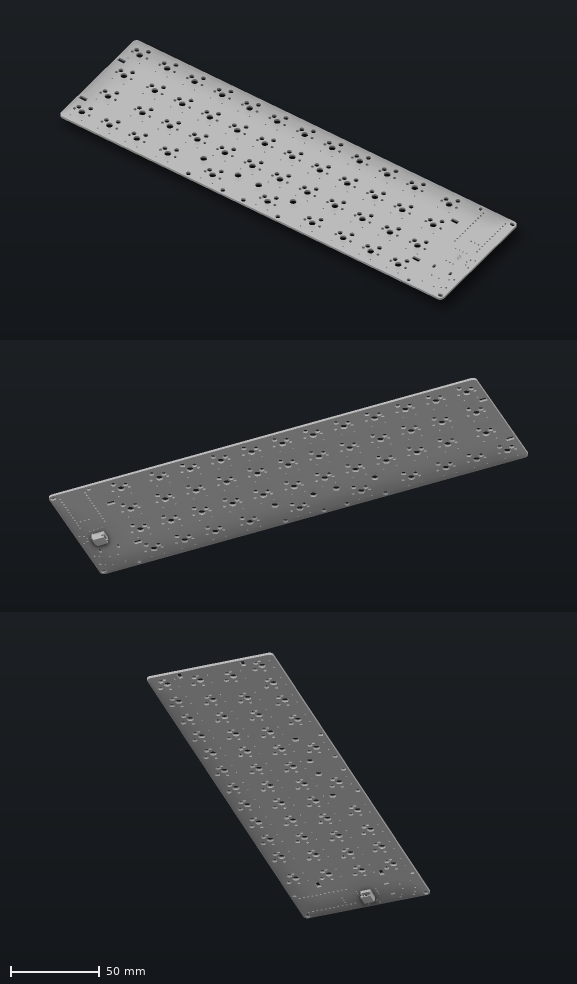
import cadquery as cq
import math

board_width = 265.0
board_thickness = 1.5
corner_radius = 2.5

key_units_wide = 12.5
key_units_deep = 4
key_field_width = 238.0
key_pitch = key_field_width / key_units_wide
board_depth = key_units_deep * key_pitch

key_rows = [
    [0.5 + i for i in range(11)] + [11.75],
    [0.625] + [1.75 + i for i in range(10)] + [11.875],
    [0.75] + [2.0 + i for i in range(11)],
    [0.5, 1.5, 2.5, 3.625, 5.25, 7.25, 8.875, 10.0, 11.0, 12.0],
]
double_width_keys = [5.25, 7.25]
front_row = len(key_rows) - 1


def row_y(row):
    """Y of the key centers in a row, counted from the back."""
    return board_depth - (row + 0.5) * key_pitch


key_centers = [
    (units * key_pitch, row_y(row)) for row, columns in enumerate(key_rows) for units in columns
]
stabilizer_centers = [(units * key_pitch, row_y(front_row)) for units in double_width_keys]

switch_grid = 1.27
switch_stem_diameter = 4.0
switch_peg_diameter = 1.75
switch_peg_offsets = [(-4 * switch_grid, 0), (4 * switch_grid, 0)]
socket_diameter = 3.0
socket_offsets = [(2 * switch_grid, 4 * switch_grid), (-3 * switch_grid, 2 * switch_grid)]
diode_lead_diameter = 0.82
diode_half_span = 4.0
diode_drop = 5.8
diode_offsets = [(-diode_half_span, 0), (diode_half_span, 0)]
key_diode_offsets = [(x, -diode_drop) for x, _ in diode_offsets]

stabilizer_half_span = 12.0
stabilizer_back_diameter = 4.0
stabilizer_back_offset = 8.2
stabilizer_front_diameter = 3.0
stabilizer_front_offset = 7.0
stabilizer_sides = (-stabilizer_half_span, stabilizer_half_span)

case_slot_length = 4.8
case_slot_width = 2.5
case_slot_inset = 3.7
case_slot_centers = [
    (x, board_depth - rows * key_pitch)
    for x in (case_slot_inset, key_field_width - case_slot_inset)
    for rows in (1, 3)
]

header_pitch = 2.55
electronics_x = 251.5
controller_pins = 12
controller_half_span = 3 * header_pitch
controller_first_pin_y = board_depth - 4.5
controller_pin_diameter = 1.1
controller_centers = [
    (electronics_x + side * controller_half_span, controller_first_pin_y - i * header_pitch)
    for side in (-1, 1)
    for i in range(controller_pins)
]

power_header_pins = 3
power_header_y = 48.8
power_header_diameter = 1.0
power_header_centers = [
    (electronics_x + i * header_pitch, power_header_y) for i in range(power_header_pins)
]

display_pins = 4
display_y = 39.0
display_pin_diameter = 0.82
display_centers = [
    (electronics_x + (i - (display_pins - 1) / 2) * header_pitch, display_y)
    for i in range(display_pins)
]

encoder_y = 20.1
encoder_pin_diameter = 1.0
encoder_pin_pitch = 2.5
encoder_signal_offset = 7.5
encoder_switch_offset = 7.0
encoder_tab_half_span = 5.5
encoder_tab_length = 3.0
encoder_tab_width = 1.5
encoder_signal_offsets = [(i * encoder_pin_pitch, encoder_signal_offset) for i in (-1, 0, 1)]
encoder_switch_offsets = [(i * encoder_pin_pitch, -encoder_switch_offset) for i in (-1, 1)]
encoder_pin_offsets = encoder_signal_offsets + encoder_switch_offsets
encoder_tab_centers = [(electronics_x + s * encoder_tab_half_span, encoder_y) for s in (-1, 1)]
encoder_diode_y = 6.0

ring_center = (262.7, 33.5)
ring_radius = 3.5
ring_hole_diameter = 1.1
ring_offsets = [
    (ring_radius * math.cos(math.radians(a)), ring_radius * math.sin(math.radians(a)))
    for a in range(90, 271, 45)
]

reset_x = 259.5
reset_y = 11.7
reset_half_span = 4.0
reset_lead_diameter = 0.98
reset_tab_shift_x = 2.5
reset_tab_shift_y = 1.5
reset_tab_diameter = 1.3
reset_lead_offsets = [(0, s * reset_half_span) for s in (-1, 1)]
reset_tab_offsets = [(reset_tab_shift_x, reset_tab_shift_y + s * reset_half_span) for s in (-1, 1)]

mount_diameter = 2.2
mount_edge_inset = 2.52
mount_hole_x = 240.7
mount_slot_x = 262.7
mount_slot_length = 3.2
mount_rows = (mount_edge_inset, board_depth - mount_edge_inset)

housing_clearance = 0.4
connector_height = 4.95
connector_width = 5.8
connector_pin_x = 254.0
connector_y = 33.5
connector_front_x = connector_pin_x - 6.0
connector_wall = 0.5
housing_length = 6.5
foot_length = 1.0
foot_height = 3.7
cavity_depth = 4.5
cavity_height = 2.5
side_slot_length = 1.5
side_slot_height = 0.93
side_slot_drop = 3.2
lead_pitch = 2.0
lead_size = 0.5
lead_hole_diameter = 0.75
lead_rise = 1.75
contact_drop = 3.2
contact_recess = 1.0
lead_ys = [connector_y + s * lead_pitch / 2 for s in (-1, 1)]


def shifted(centers, offsets):
    """Every center moved by every offset."""
    return [(x + dx, y + dy) for x, y in centers for dx, dy in offsets]


def circles(centers, diameter):
    """Closed wires of round holes."""
    return cq.Workplane("XY").pushPoints(centers).circle(diameter / 2).ctx.pendingWires


def slots(centers, length, width, angle=0):
    """Closed wires of round-ended slots."""
    return cq.Workplane("XY").pushPoints(centers).slot2D(length, width, angle).wires().vals()


def rectangles(centers, length, width):
    """Closed wires of rectangular openings."""
    return cq.Workplane("XY").pushPoints(centers).rect(length, width).ctx.pendingWires


def key_openings():
    wires = circles(key_centers, switch_stem_diameter)
    wires += circles(shifted(key_centers, switch_peg_offsets), switch_peg_diameter)
    wires += circles(shifted(key_centers, socket_offsets), socket_diameter)
    wires += circles(shifted(key_centers, key_diode_offsets), diode_lead_diameter)
    return wires


def stabilizer_openings():
    back_offsets = [(x, stabilizer_back_offset) for x in stabilizer_sides]
    front_offsets = [(x, -stabilizer_front_offset) for x in stabilizer_sides]
    wires = circles(shifted(stabilizer_centers, back_offsets), stabilizer_back_diameter)
    wires += circles(shifted(stabilizer_centers, front_offsets), stabilizer_front_diameter)
    return wires


def fastening_openings():
    wires = rectangles(case_slot_centers, case_slot_length, case_slot_width)
    wires += circles([(mount_hole_x, y) for y in mount_rows], mount_diameter)
    wires += slots([(mount_slot_x, y) for y in mount_rows], mount_slot_length, mount_diameter)
    return wires


def electronics_openings():
    encoder = [(electronics_x, encoder_y)]
    encoder_diode = [(electronics_x, encoder_diode_y)]
    reset = [(reset_x, reset_y)]
    wires = circles(controller_centers, controller_pin_diameter)
    wires += circles(power_header_centers, power_header_diameter)
    wires += circles(display_centers, display_pin_diameter)
    wires += circles(shifted(encoder, encoder_pin_offsets), encoder_pin_diameter)
    wires += slots(encoder_tab_centers, encoder_tab_length, encoder_tab_width, 90)
    wires += circles(shifted(encoder_diode, diode_offsets), diode_lead_diameter)
    wires += circles(shifted([ring_center], ring_offsets), ring_hole_diameter)
    wires += circles(shifted(reset, reset_lead_offsets), reset_lead_diameter)
    wires += circles(shifted(reset, reset_tab_offsets), reset_tab_diameter)
    wires += circles([(connector_pin_x, y) for y in lead_ys], lead_hole_diameter)
    return wires


def make_board():
    blank = cq.Workplane("XY").box(board_width, board_depth, board_thickness, centered=False)
    blank = blank.edges("|Z").fillet(corner_radius)
    outline = blank.faces("<Z").wires().val()
    openings = key_openings() + stabilizer_openings() + fastening_openings() + electronics_openings()
    return cq.Solid.extrudeLinear(outline, openings, cq.Vector(0, 0, board_thickness))


def block(x_start, x_end, y_center, width, z_bottom, z_top):
    """Rectangular block centered on y_center."""
    size = (x_end - x_start, width, z_top - z_bottom)
    corner = (x_start, y_center - width / 2, z_bottom)
    return cq.Workplane("XY").box(*size, centered=False).translate(corner)


def make_connector():
    front = connector_front_x
    housing_back = front + housing_length
    foot_back = housing_back + foot_length
    cavity_back = front + cavity_depth

    body = block(
        front, housing_back, connector_y, connector_width, -connector_height, -housing_clearance
    )
    foot = block(housing_back, foot_back, connector_y, connector_width, -foot_height, 0)
    body = body.union(foot)

    cavity_bottom = connector_wall - connector_height
    cavity_top = cavity_bottom + cavity_height
    cavity_width = connector_width - 2 * connector_wall
    body = body.cut(
        block(front, cavity_back, connector_y, cavity_width, cavity_bottom, cavity_top)
    )
    slot_bottom = -side_slot_drop - side_slot_height / 2
    slot_top = slot_bottom + side_slot_height
    slot_back = front + side_slot_length
    body = body.cut(block(front, slot_back, connector_y, connector_width, slot_bottom, slot_top))

    contact_bottom = -contact_drop - lead_size / 2
    contact_top = contact_bottom + lead_size
    lead_start = connector_pin_x - lead_size / 2
    lead_end = lead_start + lead_size
    lead_bottom = -connector_height / 2
    lead_top = board_thickness + lead_rise
    for y in lead_ys:
        contact = block(
            front + contact_recess, cavity_back, y, lead_size, contact_bottom, contact_top
        )
        lead = block(lead_start, lead_end, y, lead_size, lead_bottom, lead_top)
        body = body.union(contact).union(lead)
    return body


board = make_board()
connector = make_connector()
result = cq.Compound.makeCompound([board, connector.val()])